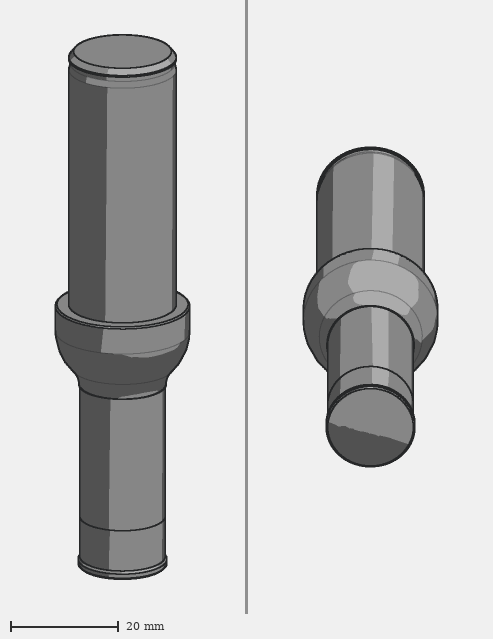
import cadquery as cq
import math

total_height = 102.0
joint_height = 10.2
collar_base = 46.8
collar_top = 52.0

head_radius = 10.0
head_chamfer = 0.9
head_chamfer_height = 1.1
head_land = 0.3
groove_depth = 0.3
groove_height = 0.9
groove_taper_height = 1.2
collar_diameter = 25.0
collar_radius = collar_diameter / 2
collar_chamfer = 0.3
shank_radius = 8.0

shoulder_radius = 10.0
neck_radius = 5.0
blend_angle = math.radians(45)

rim_radius = 8.3
rim_top = 2.2
rim_cone_height = 0.5
dome_height = 0.6
dome_edge_radius = 8.0


def arc_point(center, radius, angle):
    """Point (r, z) on an arc, with the angle measured downward from horizontal."""
    return (center[0] + radius * math.cos(angle), center[1] - radius * math.sin(angle))


def make_post():
    """Turned post with a grooved head, a rounded collar and a thinner shank."""
    shoulder_center = (collar_radius - shoulder_radius, collar_base)
    shoulder_mid = arc_point(shoulder_center, shoulder_radius, blend_angle / 2)
    blend_point = arc_point(shoulder_center, shoulder_radius, blend_angle)
    neck_center = arc_point(shoulder_center, shoulder_radius + neck_radius, blend_angle)
    neck_mid = arc_point(neck_center, -neck_radius, blend_angle / 2)
    neck_end = (neck_center[0] - neck_radius, neck_center[1])

    land_top = total_height - head_chamfer_height
    groove_top = land_top - head_land
    groove_bottom = groove_top - groove_height
    taper_bottom = groove_bottom - groove_taper_height
    groove_radius = head_radius - groove_depth

    return (
        cq.Workplane("XZ")
        .moveTo(0, joint_height)
        .lineTo(shank_radius, joint_height)
        .lineTo(shank_radius, neck_end[1])
        .lineTo(*neck_end)
        .threePointArc(neck_mid, blend_point)
        .threePointArc(shoulder_mid, (collar_radius, collar_base))
        .lineTo(collar_radius, collar_top - collar_chamfer)
        .lineTo(collar_radius - collar_chamfer, collar_top)
        .lineTo(head_radius, collar_top)
        .lineTo(head_radius, taper_bottom)
        .lineTo(groove_radius, groove_bottom)
        .lineTo(groove_radius, groove_top)
        .lineTo(head_radius, groove_top)
        .lineTo(head_radius, land_top)
        .lineTo(head_radius - head_chamfer, total_height)
        .lineTo(0, total_height)
        .close()
        .revolve(360, (0, 0), (0, 1))
    )


def make_tip():
    """Tip below the shank, with a flared rim and a shallow domed end."""
    dome_radius = (dome_edge_radius**2 + dome_height**2) / (2 * dome_height)
    mid_radius = dome_edge_radius / 2
    dome_mid = (mid_radius, dome_radius - math.sqrt(dome_radius**2 - mid_radius**2))
    rim_chamfer = rim_radius - dome_edge_radius

    return (
        cq.Workplane("XZ")
        .moveTo(0, 0)
        .threePointArc(dome_mid, (dome_edge_radius, dome_height))
        .lineTo(rim_radius, dome_height + rim_chamfer)
        .lineTo(rim_radius, rim_top - rim_cone_height)
        .lineTo(shank_radius, rim_top)
        .lineTo(shank_radius, joint_height)
        .lineTo(0, joint_height)
        .close()
        .revolve(360, (0, 0), (0, 1))
    )


post = make_post()
tip = make_tip()

result = cq.Compound.makeCompound([post.val(), tip.val()])